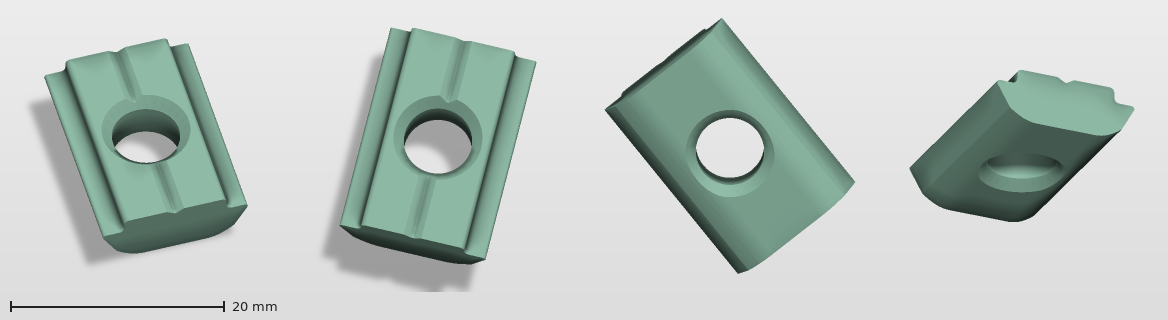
import cadquery as cq
import math

length = 20.0
width = 14.05
height = 5.3

rib_width = 9.95
rib_height = 1.5
rib_top_radius = 0.5
rib_root_radius = 0.5

flank_angle = 60.0
flank_bottom_z = 1.15
flange_edge_radius = 0.3

base_flat_width = 5.92
base_blend_radius = 3.4
base_blend_angle = 25.0

groove_width = 1.68
groove_depth = 0.45
groove_floor_width = 0.2

hole_diameter = 6.4
countersink_diameter = 8.32

flange_z = height - rib_height
half_rib = rib_width / 2
base_edge_y = base_flat_width / 2

flank_slope = math.radians(flank_angle)
edge_center_y = width / 2 - flange_edge_radius
edge_center_z = flange_z - flange_edge_radius
edge_end_y = edge_center_y + flange_edge_radius * math.sin(flank_slope)
edge_end_z = edge_center_z - flange_edge_radius * math.cos(flank_slope)
flank_bottom_y = edge_end_y - (edge_end_z - flank_bottom_z) / math.tan(flank_slope)

blend_angle = math.radians(base_blend_angle)
blend_end_y = base_edge_y + base_blend_radius * math.sin(blend_angle)
blend_end_z = base_blend_radius * (1 - math.cos(blend_angle))


def make_body():
    """Extrude the symmetric slot-nut section along X."""
    half_body = (
        cq.Workplane("YZ", origin=(-length / 2, 0, 0))
        .lineTo(base_edge_y, 0)
        .tangentArcPoint((blend_end_y, blend_end_z), relative=False)
        .tangentArcPoint((flank_bottom_y, flank_bottom_z), relative=False)
        .lineTo(edge_end_y, edge_end_z)
        .threePointArc((width / 2, edge_center_z), (edge_center_y, flange_z))
        .lineTo(half_rib + rib_root_radius, flange_z)
        .radiusArc((half_rib, flange_z + rib_root_radius), rib_root_radius)
        .lineTo(half_rib, height - rib_top_radius)
        .radiusArc((half_rib - rib_top_radius, height), -rib_top_radius)
        .lineTo(0, height)
        .close()
        .extrude(length)
    )
    return half_body.union(half_body.mirror("XZ")).clean()


def make_groove():
    """Shallow V groove with a narrow floor along the top."""
    floor_z = height - groove_depth
    return (
        cq.Workplane("YZ", origin=(-length / 2, 0, 0))
        .polyline([
            (-groove_width / 2, height),
            (-groove_floor_width / 2, floor_z),
            (groove_floor_width / 2, floor_z),
            (groove_width / 2, height),
        ])
        .close()
        .extrude(length)
    )


def make_hole():
    """Through hole with 45 degree countersinks at both ends."""
    hole_radius = hole_diameter / 2
    sink_radius = countersink_diameter / 2
    sink_depth = sink_radius - hole_radius
    return (
        cq.Workplane("XZ")
        .polyline([
            (0, 0),
            (sink_radius, 0),
            (hole_radius, sink_depth),
            (hole_radius, height - sink_depth),
            (sink_radius, height),
            (0, height),
        ])
        .close()
        .revolve(360, (0, 0, 0), (0, 1, 0))
    )


result = make_body().cut(make_groove()).cut(make_hole())